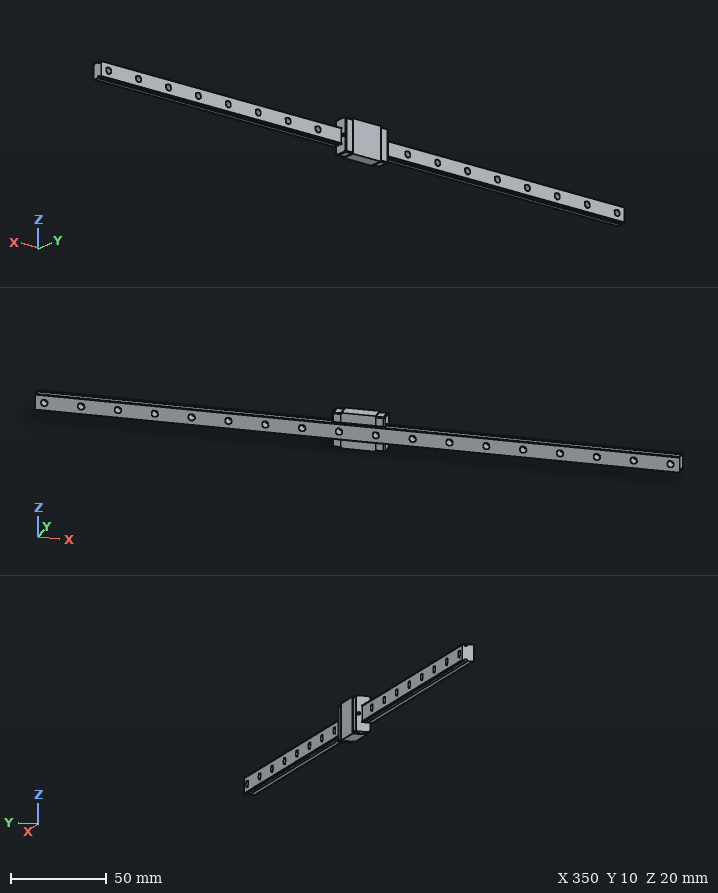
import cadquery as cq

rail_length = 350.0
total_height = 10.0
carriage_width = 20.0
clearance = 2.0

rail_width = 9.0
channel_depth = 4.5
rail_height = clearance + channel_depth
rail_chamfer = 0.42
groove_center_height = 4.5
groove_radius = 0.98
hole_count = 18
hole_diameter = 3.5
end_margin_in_pitches = 0.25
hole_pitch = rail_length / (hole_count - 1 + 2 * end_margin_in_pitches)

carriage_length = 29.0
block_length = 19.0
seal_thickness = 0.98
end_inset = 0.5
end_chamfer = 0.52
port_diameter = 1.5

block_end = block_length / 2
seal_outer = carriage_length / 2
seal_inner = seal_outer - seal_thickness


def bar_along_x(start, end, bottom, top, width):
    """Rectangular bar from X = start to X = end, centred on Z = 0."""
    bar = cq.Workplane("XY").box(end - start, top - bottom, width, centered=(False, False, True))
    return bar.translate((start, bottom, 0))


def make_rail():
    """Rail resting on Y = 0, with a round ball groove in each flank and a row of mounting holes."""
    rail = bar_along_x(-rail_length / 2, rail_length / 2, 0, rail_height, rail_width)
    rail = rail.edges("|X").chamfer(rail_chamfer)
    grooves = (
        cq.Workplane("YZ", origin=(0, groove_center_height, 0))
        .pushPoints([(0, -rail_width / 2), (0, rail_width / 2)])
        .circle(groove_radius)
        .extrude(rail_length / 2, both=True)
    )
    holes = (
        cq.Workplane("XZ")
        .rarray(hole_pitch, 3.5, hole_count, 1)
        .circle(hole_diameter / 2)
        .extrude(-rail_height)
    )
    return rail.cut(grooves).cut(holes)


def cut_channel(body):
    """Open the underside of a carriage body to let the rail through."""
    return body.cut(bar_along_x(-seal_outer, seal_outer, 0, rail_height, rail_width))


def make_block():
    """Central block of the carriage."""
    return cut_channel(bar_along_x(-block_end, block_end, clearance, total_height, carriage_width))


def make_end_piece(start, end):
    """Chamfered piece at an end of the carriage, set in from the block's top and sides."""
    top = total_height - end_inset
    width = carriage_width - 2 * end_inset
    body = bar_along_x(start, end, clearance, top, width).edges("|X").chamfer(end_chamfer)
    return cut_channel(body)


def make_seal(start, end):
    """End piece with a round lubrication port above the rail."""
    port = (
        cq.Workplane("YZ", origin=(start, (rail_height + total_height) / 2, 0))
        .circle(port_diameter / 2)
        .extrude(end - start)
    )
    return make_end_piece(start, end).cut(port)


rail = make_rail()
block = make_block()
caps = []
seals = []
for side in (-1, 1):
    caps.append(make_end_piece(*sorted((side * block_end, side * seal_inner))))
    seals.append(make_seal(*sorted((side * seal_inner, side * seal_outer))))

result = cq.Compound.makeCompound([body.val() for body in [rail, block, *caps, *seals]])